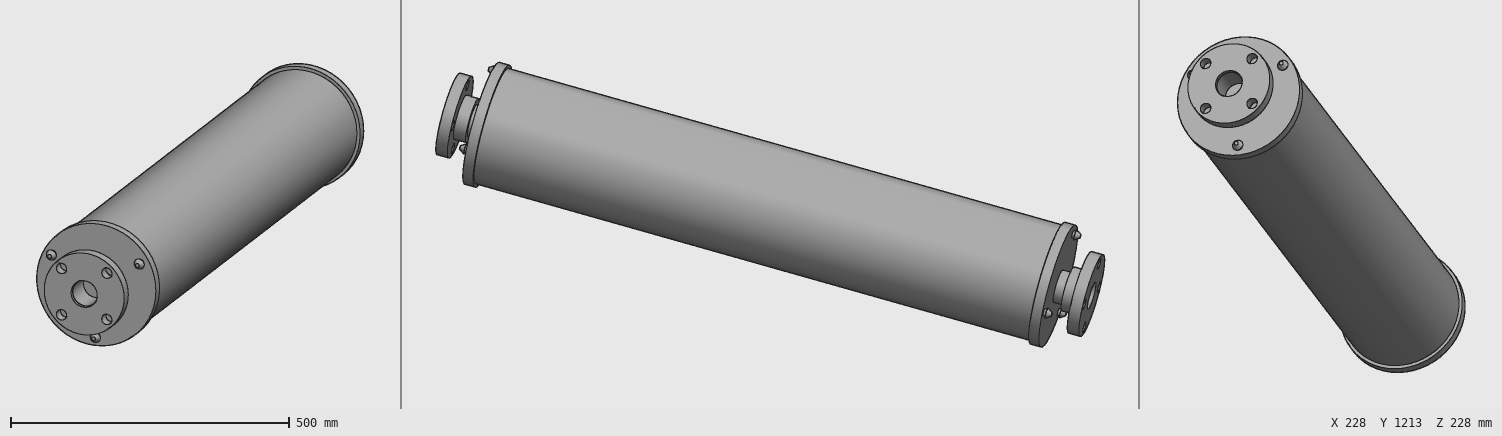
import cadquery as cq
import math

total_length = 1213.0
half_length = total_length / 2

body_diameter = 216.0
plate_diameter = 228.0
plate_thickness = 20.0
plate_offset = 63.0

flange_diameter = 153.0
flange_thickness = 22.0
collar_diameter = 82.0
collar_end = 45.0
pipe_diameter = 61.0
bore_diameter = 49.0
bore_mouth_diameter = 50.0
bore_mouth_depth = 7.0
bolt_hole_diameter = 20.0
bolt_hole_circle = 122.0
bolt_hole_count = 4

stud_diameter = 13.0
stud_head_diameter = 20.0
stud_tip_diameter = 7.0
stud_neck_height = 5.0
stud_height = 15.0
stud_circle = 194.0
stud_count = 3
first_stud_angle = 30

plate_face = half_length - plate_offset


def cylinder(diameter, start, end):
    """Cylinder about the Y axis between two Y positions."""
    plane = cq.Workplane("XZ", origin=(0, start, 0))
    return plane.circle(diameter / 2).extrude(start - end)


def ring_points(circle_diameter, count, first_angle):
    """Evenly spaced (x, z) points on a circle about the Y axis."""
    radius = circle_diameter / 2
    angles = [math.radians(first_angle + 360 * i / count) for i in range(count)]
    return [(radius * math.cos(angle), radius * math.sin(angle)) for angle in angles]


def stud():
    """Stud with a narrow neck and a tapered head, standing on the XZ plane along +Y."""
    neck_radius = stud_diameter / 2
    head_radius = stud_head_diameter / 2
    tip_radius = stud_tip_diameter / 2
    profile = (
        cq.Workplane("XY")
        .lineTo(neck_radius, 0)
        .lineTo(neck_radius, stud_neck_height)
        .lineTo(head_radius, stud_neck_height)
        .lineTo(tip_radius, stud_height)
        .lineTo(0, stud_height)
        .close()
    )
    return profile.revolve(360, (0, 0, 0), (0, 1, 0))


def flanged_pipe():
    """Pipe, collar and drilled flange at the +Y end, with a stepped bore down to the plate."""
    flange_back = half_length - flange_thickness
    pipe = cylinder(pipe_diameter, plate_face, half_length)
    pipe = pipe.union(cylinder(collar_diameter, half_length - collar_end, half_length))
    pipe = pipe.union(cylinder(flange_diameter, flange_back, half_length))
    bolt_hole = cylinder(bolt_hole_diameter, flange_back, half_length)
    for x, z in ring_points(bolt_hole_circle, bolt_hole_count, 180 / bolt_hole_count):
        pipe = pipe.cut(bolt_hole.translate((x, 0, z)))
    pipe = pipe.cut(cylinder(bore_diameter, plate_face, half_length))
    return pipe.cut(cylinder(bore_mouth_diameter, half_length - bore_mouth_depth, half_length))


def end_assembly():
    """End plate with its studs and the flanged pipe at the +Y end."""
    end = cylinder(plate_diameter, plate_face - plate_thickness, plate_face)
    for x, z in ring_points(stud_circle, stud_count, first_stud_angle):
        end = end.union(stud().translate((x, plate_face, z)))
    return end.union(flanged_pipe())


far_end = end_assembly()
near_end = far_end.mirror("XZ")
body_end = plate_face - plate_thickness
body = cylinder(body_diameter, -body_end, body_end)

result = body.union(far_end).union(near_end)